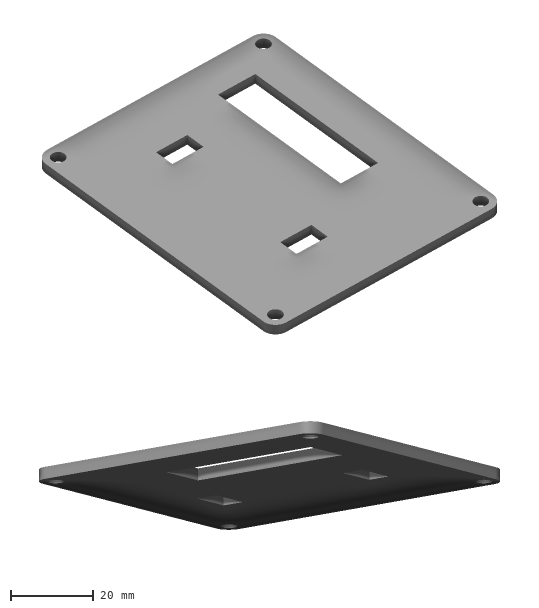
import cadquery as cq

LENGTH = 88.0
WIDTH = 74.0
THICKNESS = 3.0
CORNER_RADIUS = 4.0

HOLE_DIAMETER = 4.05

WINDOW_LENGTH = 45.2
WINDOW_WIDTH = 12.0
WINDOW_CENTER = (-10.0, 17.95)

OPENING_LENGTH = 6.0
OPENING_WIDTH = 10.0
OPENING_SPACING = 45.8
OPENING_PAIR_CENTER = (0.0, -8.9)


def make_plate():
    """Flat plate with rounded vertical corners."""
    plate = cq.Workplane("XY").box(LENGTH, WIDTH, THICKNESS, centered=(True, True, False))
    return plate.edges("|Z").fillet(CORNER_RADIUS)


def make_corner_holes():
    """Four through-hole cutters at the corner-arc centres."""
    return (
        cq.Workplane("XY")
        .rect(LENGTH - 2 * CORNER_RADIUS, WIDTH - 2 * CORNER_RADIUS, forConstruction=True)
        .vertices()
        .circle(HOLE_DIAMETER / 2)
        .extrude(THICKNESS)
    )


def make_window():
    """Cutter for the wide window."""
    return (
        cq.Workplane("XY")
        .center(*WINDOW_CENTER)
        .rect(WINDOW_LENGTH, WINDOW_WIDTH)
        .extrude(THICKNESS)
    )


def make_openings():
    """Cutters for the two small openings, spaced along X."""
    return (
        cq.Workplane("XY")
        .center(*OPENING_PAIR_CENTER)
        .rarray(OPENING_SPACING, 0.9, 2, 1)
        .rect(OPENING_LENGTH, OPENING_WIDTH)
        .extrude(THICKNESS)
    )


result = make_plate().cut(make_corner_holes()).cut(make_window()).cut(make_openings())